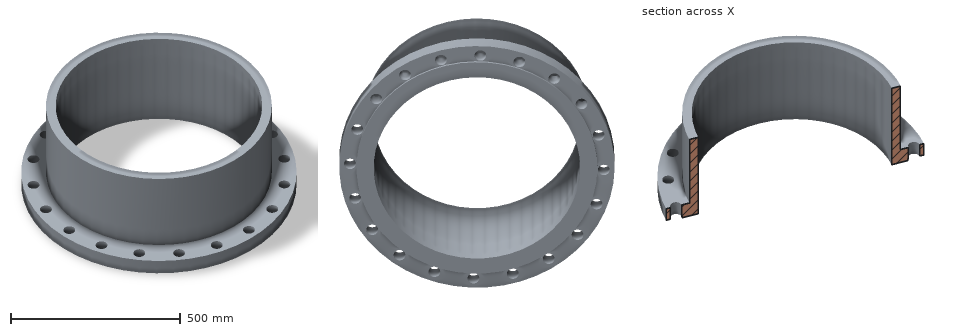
import cadquery as cq

INCH = 25.4

overall_height = 12.1875 * INCH

flange_diameter = 32 * INCH
flange_thickness = 1.875 * INCH

face_height = 0.25 * INCH
face_diameter = 28 * INCH

neck_diameter = 26.25 * INCH
bore_diameter = 24 * INCH

bolt_count = 20
bolt_circle_diameter = 29.5 * INCH
bolt_hole_diameter = 1.375 * INCH

face_bottom = -face_height
neck_top = overall_height - face_height


def turned_body():
    """Neck, flange and raised face, revolved as one ring about the Z axis."""
    bore_radius = bore_diameter / 2
    neck_radius = neck_diameter / 2
    flange_radius = flange_diameter / 2
    face_radius = face_diameter / 2
    profile = (
        cq.Workplane("XZ")
        .moveTo(bore_radius, neck_top)
        .lineTo(neck_radius, neck_top)
        .lineTo(neck_radius, flange_thickness)
        .lineTo(flange_radius, flange_thickness)
        .lineTo(flange_radius, 0)
        .lineTo(face_radius, 0)
        .lineTo(face_radius, face_bottom)
        .lineTo(bore_radius, face_bottom)
        .close()
    )
    return profile.revolve(360, (0, 0, 0), (0, 1, 0))


def bolt_holes():
    """Cylinders through the flange, evenly spaced with the first one on +X."""
    return (
        cq.Workplane("XY")
        .polarArray(bolt_circle_diameter / 2, 0, 360, bolt_count)
        .circle(bolt_hole_diameter / 2)
        .extrude(flange_thickness)
    )


result = turned_body().cut(bolt_holes())